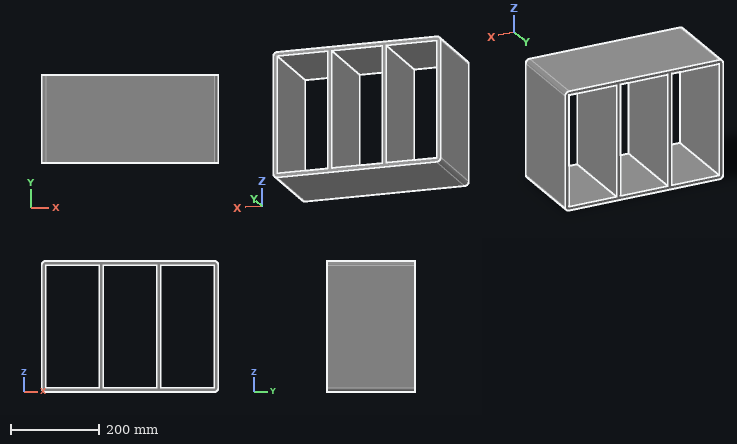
import cadquery as cq

width = 401.5
depth = 200.0
height = 298.0

wall = 10.0
corner_radius = wall
bay_count = 3

bay_width = (width - (bay_count + 1) * wall) / bay_count
bay_height = height - 2 * wall
bay_pitch = bay_width + wall

body = cq.Workplane("XY").box(width, depth, height).edges("|Y").fillet(corner_radius)

bays = (
    cq.Workplane("XZ")
    .rarray(bay_pitch, 4, bay_count, 1)
    .rect(bay_width, bay_height)
    .extrude(depth, both=True)
)

result = body.cut(bays)